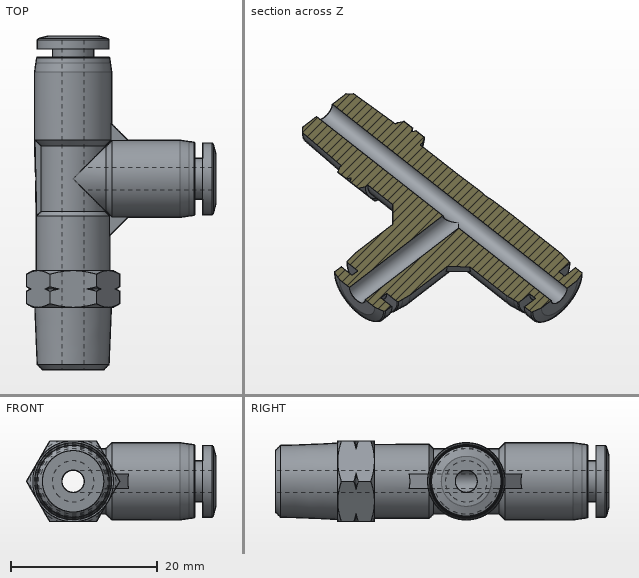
import cadquery as cq
import math


neck_radius = 4.45
neck_end = 4.45
sleeve_radius = 5.3
sleeve_start = neck_end + (sleeve_radius - neck_radius)
sleeve_taper_start = 14.55
sleeve_rim_start = 15.8
sleeve_rim_radius = 5.1
sleeve_end = 16.6
sleeve_end_radius = 5.0
sleeve_end_bevel = 0.15
collar_stem_radius = 2.8
collar_start = 17.65
collar_radius = 4.9
collar_rim_end = 18.95
collar_edge_bevel = 0.2
arm_length = 19.47
collar_face_radius = 3.4

stem_radius = 5.05
stem_start = neck_end + (stem_radius - neck_radius)
hex_start = 12.5
hex_end = 17.5
hex_flats = 11.0
hex_chamfer_radius = hex_flats / 2
hex_groove_radius = 5.82
hex_bevel_angle = 30
thread_base_radius = 5.25
thread_tip_radius = 4.9
thread_end = 26.03
thread_chamfer = 0.75

web_thickness = 2.0
gusset_reach = 12.75
bore_radius = 1.5


def turned(profile):
    """Solid of revolution about Y from (radius, y) points, closed along the axis."""
    first_y = profile[0][1]
    last_y = profile[-1][1]
    outline = [(0, first_y)] + profile + [(0, last_y)]
    return cq.Workplane("XY").polyline(outline).close().revolve(360, (0, 0, 0), (0, 1, 0))


def outlet_arm():
    """Push-in outlet pointing along +Y."""
    return turned([
        (neck_radius, 0),
        (neck_radius, neck_end),
        (sleeve_radius, sleeve_start),
        (sleeve_radius, sleeve_taper_start),
        (sleeve_rim_radius, sleeve_rim_start),
        (sleeve_end_radius, sleeve_end - sleeve_end_bevel),
        (sleeve_end_radius - sleeve_end_bevel, sleeve_end),
        (collar_stem_radius, sleeve_end),
        (collar_stem_radius, collar_start),
        (collar_radius, collar_start),
        (collar_radius, collar_rim_end),
        (collar_radius - collar_edge_bevel, collar_rim_end + collar_edge_bevel),
        (collar_face_radius, arm_length),
    ])


def threaded_arm():
    """Stem and tapered thread pointing along -Y."""
    return turned([
        (neck_radius, 0),
        (neck_radius, -neck_end),
        (stem_radius, -stem_start),
        (stem_radius, -hex_start),
        (thread_base_radius, -hex_end),
        (thread_tip_radius, -(thread_end - thread_chamfer)),
        (thread_tip_radius - thread_chamfer, -thread_end),
    ])


def hexagon():
    """Hexagon with corners on X, bevelled at both ends and notched at mid-length."""
    corner_radius = hex_flats / math.sqrt(3)
    slope = math.tan(math.radians(hex_bevel_angle))
    bevel = (corner_radius - hex_chamfer_radius) * slope
    notch = (corner_radius - hex_groove_radius) * slope
    middle = (hex_start + hex_end) / 2
    prism = (
        cq.Workplane("XZ", origin=(0, -hex_start, 0))
        .polygon(6, 2 * corner_radius)
        .extrude(hex_end - hex_start)
    )
    envelope = turned([
        (hex_chamfer_radius, -hex_start),
        (corner_radius, -(hex_start + bevel)),
        (corner_radius, -(middle - notch)),
        (hex_groove_radius, -middle),
        (corner_radius, -(middle + notch)),
        (corner_radius, -(hex_end - bevel)),
        (hex_chamfer_radius, -hex_end),
    ])
    return prism.intersect(envelope)


def gussets():
    """Triangular web bracing the branch against both ends of the run."""
    return (
        cq.Workplane("XY")
        .polyline([(0, -gusset_reach), (gusset_reach, 0), (0, gusset_reach)])
        .close()
        .extrude(web_thickness / 2, both=True)
    )


def back_rib():
    """Rib opposite the branch, blending from the sleeve radius to the stem radius."""
    length = sleeve_start + stem_start
    slab = (
        cq.Workplane("XY")
        .center(-sleeve_radius / 2, (sleeve_start - stem_start) / 2)
        .box(sleeve_radius, length, web_thickness)
    )
    return slab.intersect(turned([(sleeve_radius, sleeve_start), (stem_radius, -stem_start)]))


def bores():
    """Through bore along the run, met by the bore of the branch."""
    run = cq.Workplane("XZ", origin=(0, arm_length, 0)).circle(bore_radius).extrude(arm_length + thread_end)
    branch = cq.Workplane("YZ").circle(bore_radius).extrude(arm_length)
    return run.union(branch)


run_outlet = outlet_arm()
branch_outlet = outlet_arm().rotate((0, 0, 0), (0, 0, 1), -90)

result = (
    run_outlet
    .union(threaded_arm())
    .union(branch_outlet)
    .union(hexagon())
    .union(gussets())
    .union(back_rib())
    .cut(bores())
)